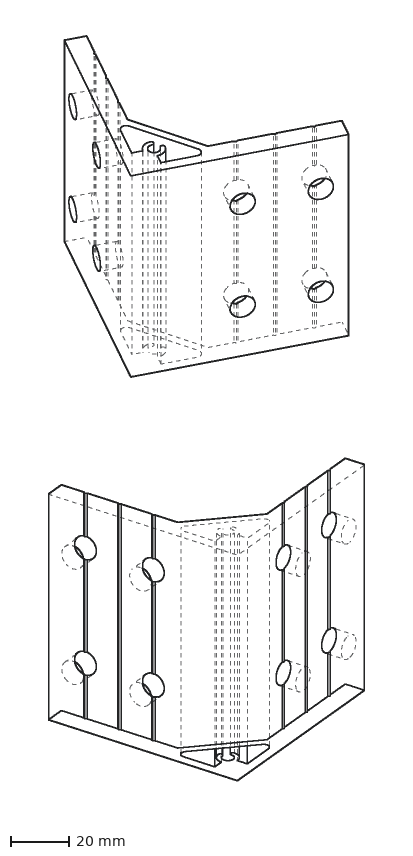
import cadquery as cq
import math

leg_length = 78.0
height = 88.0
leg_thickness = 8.0

web_reach = 30.0
web_thickness = 3.0

edge_fillet = 0.3

cavity_wall = 4.0
cavity_fillet = 2.0
block_size = 12.0

channel_inner_radius = 2.2
channel_outer_radius = 4.0

groove_end_offset = 9.9
groove_pitch = 14.0
groove_count = 3
groove_width = 1.4
groove_depth = 0.4

hole_diameter = 9.0
hole_spacing_z = 45.0

groove_positions = [leg_length - groove_end_offset - i * groove_pitch for i in range(groove_count)]


def extrude_outline(points):
    return cq.Workplane("XY").polyline(points).close().extrude(height)


def mirrored(points):
    return [(-y, -x) for x, y in points]


def make_body():
    half_outline = [(0, 0), (-leg_length, 0), (-leg_length, leg_thickness), (-web_reach, leg_thickness)]
    other_half = mirrored(half_outline[1:])
    return extrude_outline(half_outline + other_half[::-1]).edges("|Z").fillet(edge_fillet)


def make_cavity():
    web_sum = web_reach + leg_thickness - web_thickness * math.sqrt(2)
    tip = web_sum - cavity_wall
    triangle = extrude_outline([(-cavity_wall, cavity_wall), (-tip, cavity_wall), (-cavity_wall, tip)])
    rounded = triangle.edges("|Z").edges("<X or >Y").fillet(cavity_fillet)
    block = cq.Workplane("XY").rect(block_size * 2, block_size * 2).extrude(height)
    return rounded.cut(block)


def make_channel():
    center = cq.Workplane("XY").center(-block_size, block_size)
    ring = center.circle(channel_outer_radius).circle(channel_inner_radius).extrude(height)
    opening = center.rect(-channel_outer_radius, channel_outer_radius, centered=False).extrude(height)
    lip_offset = (channel_inner_radius + channel_outer_radius) / 2
    lip_radius = (channel_outer_radius - channel_inner_radius) / 2
    lips = center.pushPoints([(-lip_offset, 0), (0, lip_offset)]).circle(lip_radius).extrude(height)
    bore = center.circle(channel_inner_radius).extrude(height)
    return ring.cut(opening).union(lips), bore


def cut_grooves(body):
    for position in groove_positions:
        profile = [
            (-position - groove_width / 2, leg_thickness),
            (-position, leg_thickness - groove_depth),
            (-position + groove_width / 2, leg_thickness),
        ]
        body = body.cut(extrude_outline(profile)).cut(extrude_outline(mirrored(profile)))
    return body


def cut_holes(body):
    for position in (groove_positions[0], groove_positions[-1]):
        for side in (-1, 1):
            z = height / 2 + side * hole_spacing_z / 2
            radius = hole_diameter / 2
            through_y = cq.Solid.makeCylinder(
                radius, leg_thickness, cq.Vector(-position, 0, z), cq.Vector(0, 1, 0)
            )
            through_x = cq.Solid.makeCylinder(
                radius, leg_thickness, cq.Vector(0, position, z), cq.Vector(-1, 0, 0)
            )
            body = body.cut(cq.Workplane(through_y)).cut(cq.Workplane(through_x))
    return body


channel, channel_bore = make_channel()
bracket = make_body().cut(make_cavity()).union(channel).cut(channel_bore)
result = cut_holes(cut_grooves(bracket))